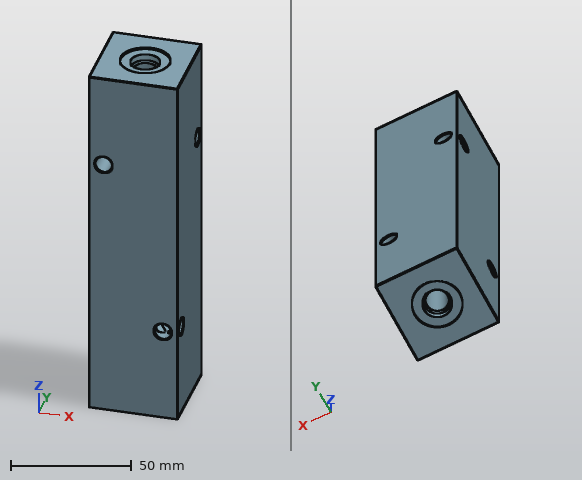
import cadquery as cq

side = 38.1
length = 158.8
edge_chamfer = 0.3

spotface_diameter = 21.0
spotface_depth = 0.8
mouth_diameter = 12.4
throat_diameter = 11.5
mouth_depth = 2.5
bore_diameter = 9.7
step_height = 0.8

cross_hole_diameter = 7.1
countersink_diameter = 8.0
cross_hole_offset = 12.7
cross_hole_half_spacing = 38.1


def make_bar():
    bar = cq.Workplane("XY").box(side, side, length)
    return bar.edges().chamfer(edge_chamfer)


def make_port():
    """Revolved cutter for one port, from the top end down to the middle of the bar."""
    top = length / 2
    spotface_floor = top - spotface_depth
    mouth_floor = spotface_floor - mouth_depth
    profile = (
        cq.Workplane("XZ")
        .moveTo(0, top)
        .lineTo(spotface_diameter / 2, top)
        .lineTo(spotface_diameter / 2, spotface_floor)
        .lineTo(mouth_diameter / 2, spotface_floor)
        .lineTo(throat_diameter / 2, mouth_floor)
        .lineTo(bore_diameter / 2, mouth_floor - step_height)
        .lineTo(bore_diameter / 2, 0)
        .lineTo(0, 0)
        .close()
    )
    return profile.revolve(360, (0, 0, 0), (0, 1, 0))


def make_cross_hole():
    """Cutter along Z, as long as the bar is wide, flared 45 degrees at both ends."""
    half = side / 2
    radius = cross_hole_diameter / 2
    flare_radius = countersink_diameter / 2
    flare_depth = flare_radius - radius
    profile = (
        cq.Workplane("XZ")
        .moveTo(0, -half)
        .lineTo(flare_radius, -half)
        .lineTo(radius, -half + flare_depth)
        .lineTo(radius, half - flare_depth)
        .lineTo(flare_radius, half)
        .lineTo(0, half)
        .close()
    )
    return profile.revolve(360, (0, 0, 0), (0, 1, 0))


port = make_port()
result = make_bar().cut(port).cut(port.mirror("XY"))

hole = make_cross_hole()
hole_along_y = hole.rotate((0, 0, 0), (1, 0, 0), 90)
hole_along_x = hole.rotate((0, 0, 0), (0, 1, 0), 90)
for end in (1, -1):
    offset = end * cross_hole_offset
    height = end * cross_hole_half_spacing
    result = result.cut(hole_along_y.translate((-offset, 0, height)))
    result = result.cut(hole_along_x.translate((0, offset, height)))